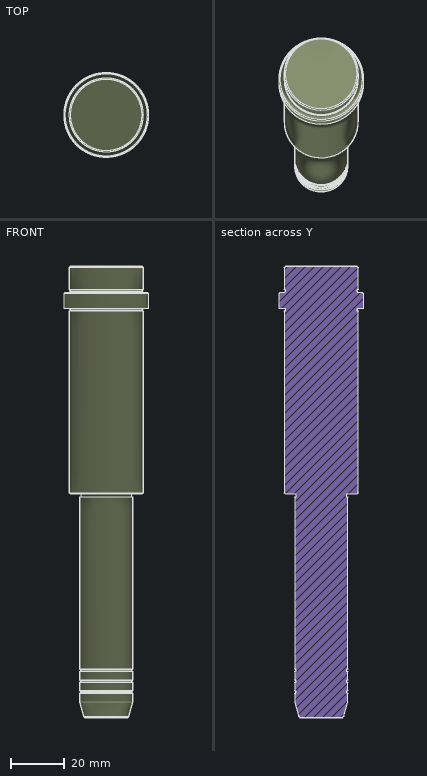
import cadquery as cq

total_length = 170
flange_top = 160.1
flange_bottom = 154.0
body_bottom = 84.2
pin_top = 83.1
taper_top = 6.0

flange_radius = 16.0
body_radius = 14.0
pin_radius = 10.0
pin_neck_radius = 9.5
tip_radius = 8.5

flange_chamfer = 0.5
body_chamfer = 0.5
top_chamfer = 0.5
tip_chamfer = 0.5

groove_width = 1.0
groove_floor_width = 0.5
groove_depth = 0.3
groove_count = 3
groove_pitch = 4.0
lowest_groove_center = 9.7


def cylinder(radius, bottom, top):
    return cq.Workplane("XY").workplane(offset=bottom).circle(radius).extrude(top - bottom)


def groove_ring(radius, center_height):
    """Ring that cuts a groove with a flat floor and sloping walls into a cylinder."""
    floor_radius = radius - groove_depth
    section = [
        (radius, center_height - groove_width / 2),
        (floor_radius, center_height - groove_floor_width / 2),
        (floor_radius, center_height + groove_floor_width / 2),
        (radius, center_height + groove_width / 2),
    ]
    return cq.Workplane("XZ").polyline(section).close().revolve(360, (0, 0), (0, 1))


pin_profile = [
    (0, 0),
    (tip_radius - tip_chamfer, 0),
    (tip_radius, tip_chamfer),
    (pin_radius, taper_top),
    (pin_radius, pin_top),
    (pin_neck_radius, pin_top),
    (pin_neck_radius, body_bottom),
    (0, body_bottom),
]
pin = cq.Workplane("XZ").polyline(pin_profile).close().revolve(360, (0, 0), (0, 1))

for index in range(groove_count):
    groove_center = lowest_groove_center + index * groove_pitch
    pin = pin.cut(groove_ring(pin_radius, groove_center))

body = cylinder(body_radius, body_bottom, total_length)
body = body.faces("<Z").chamfer(body_chamfer)
body = body.faces(">Z").chamfer(top_chamfer)
for relief_center in (flange_top + groove_width / 2, flange_bottom - groove_width / 2):
    body = body.cut(groove_ring(body_radius, relief_center))

flange = cylinder(flange_radius, flange_bottom, flange_top).faces(">Z").chamfer(flange_chamfer)

result = pin.union(body).union(flange)